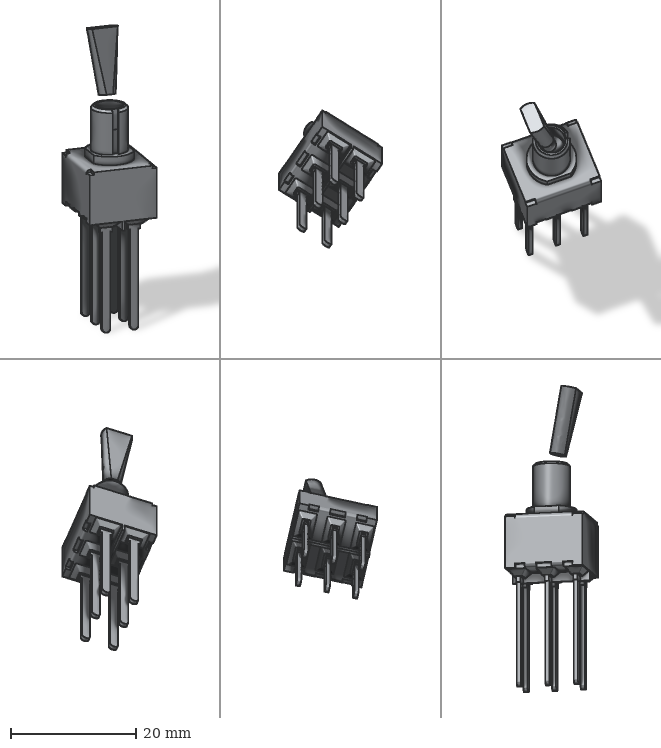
import cadquery as cq
import math


case_length = 12.7
case_width = 11.4
case_height = 8.85
case_top_round = 0.75
corner_post = 1.6
corner_notch_depth = 0.45
skirt_height = 0.7
skirt_depth = 0.75
tab_length = 1.9
tab_offset = 2.2
tab_round = 0.6

flange_diameter = 8.0
flange_across_flats = 6.95
flange_height = 1.4
bushing_diameter = 6.0
bushing_height = 7.45
bushing_chamfer = 0.45
bore_diameter = 4.4
keyway_width = 1.0
keyway_floor = 2.35

pivot_depth = 3.5
socket_radius = 1.1
socket_depth = 0.75

lever_tilt = 12
lever_length = 10.8
lever_thickness = 2.5
lever_tip_width = 5.05
lever_tip_flat = 4.35
lever_root_width = 2.85
lever_root_flat = 1.05

pin_pitch = 4.7
pin_row_offset = 2.4
pin_thickness = 0.7
pin_width = 1.35
pin_drop = 18.8
shoulder_width = 2.05
shoulder_height = 0.95
foot_height = 0.98
foot_base_x = 3.0
foot_base_y = 4.4
foot_end_x = 1.4
foot_end_y = 2.45
foot_corner_round = 0.3
wall_thickness = 0.45
wall_drop = 1.5

overall_height = 48.8

flange_top = case_height + flange_height
bushing_top = flange_top + bushing_height
pivot_height = bushing_top - pivot_depth
bore_radius = bore_diameter / 2
SIDES = (-1, 1)


def box_on(length, width, height, x, y, z):
    """A box centred on x and y that stands on z."""
    return cq.Workplane("XY").box(length, width, height, centered=(True, True, False)).translate((x, y, z))


def make_case():
    case = box_on(case_length, case_width, case_height, 0, 0, 0)
    case = case.edges("|X and >Z").fillet(case_top_round)
    panel_length = case_length - 2 * corner_post
    for side in SIDES:
        strip_y = side * (case_width - skirt_depth) / 2
        strip = box_on(panel_length, skirt_depth, skirt_height, 0, strip_y, 0)
        outer_edge = ">Y" if side > 0 else "<Y"
        for end in SIDES:
            tab = box_on(tab_length, skirt_depth, skirt_height, end * tab_offset, strip_y, 0)
            strip = strip.cut(tab.faces(outer_edge).edges("<Z").fillet(tab_round))
        case = case.cut(strip)
        for end in SIDES:
            corner_x = end * (case_length - corner_post) / 2
            corner_y = side * (case_width - case_top_round) / 2
            post_height = case_height - corner_notch_depth
            case = case.union(box_on(corner_post, case_top_round, post_height, corner_x, corner_y, 0))
            case = case.cut(
                box_on(corner_post, case_top_round, corner_notch_depth, corner_x, corner_y, post_height)
            )
    return case


def make_bushing():
    flange = cq.Workplane("XY").circle(flange_diameter / 2).extrude(flange_height)
    flange = flange.intersect(box_on(flange_diameter, flange_across_flats, flange_height, 0, 0, 0))
    barrel = cq.Workplane("XY").workplane(offset=flange_height).circle(bushing_diameter / 2)
    barrel = barrel.extrude(bushing_height).faces(">Z").edges().chamfer(bushing_chamfer)
    keyway_depth = bushing_diameter / 2 - keyway_floor
    barrel = barrel.cut(
        box_on(keyway_depth, keyway_width, bushing_height, keyway_floor + keyway_depth / 2, 0, flange_height)
    )
    return flange.union(barrel).translate((0, 0, case_height))


def make_bore():
    """The space in the bore above the ball."""
    bore = cq.Workplane("XY").circle(bore_radius).extrude(pivot_depth)
    return bore.cut(cq.Workplane("XY").sphere(bore_radius)).translate((0, 0, pivot_height))


def tilt_about_pivot(shape):
    """Leans a shape built along Z from the origin toward -X, and moves it to the pivot."""
    return shape.rotate((0, 0, 0), (0, 1, 0), -lever_tilt).translate((0, 0, pivot_height))


def make_socket():
    """A shallow conical recess in the ball, along the lever axis."""
    rim = math.sqrt(bore_radius**2 - socket_radius**2)
    profile = [(0, rim - socket_depth), (socket_radius, rim), (socket_radius, bore_radius), (0, bore_radius)]
    cone = cq.Workplane("XZ").polyline(profile).close().revolve(360, (0, 0, 0), (0, 1, 0))
    return tilt_about_pivot(cone)


def make_pin():
    """One pin with its shoulder and pyramid foot, hanging from Z = 0."""
    foot = (
        cq.Workplane("XY").rect(foot_base_x, foot_base_y)
        .workplane(offset=-foot_height).rect(foot_end_x, foot_end_y)
        .loft(ruled=True)
        .edges("not #Z").fillet(foot_corner_round)
    )
    shoulder_bottom = -foot_height - shoulder_height
    shoulder = box_on(pin_thickness, shoulder_width, shoulder_height, 0, 0, shoulder_bottom)
    half_width = pin_width / 2
    round_start = half_width - pin_drop
    blade = (
        cq.Workplane("YZ").workplane(offset=-pin_thickness / 2)
        .moveTo(-half_width, -foot_height)
        .lineTo(-half_width, round_start)
        .threePointArc((0, -pin_drop), (half_width, round_start))
        .lineTo(half_width, -foot_height)
        .close().extrude(pin_thickness)
    )
    return foot.union(shoulder).union(blade)


def make_housing():
    housing = make_case().union(make_bushing()).cut(make_bore()).cut(make_socket())
    housing = housing.union(box_on(case_length, wall_thickness, wall_drop, 0, 0, -wall_drop))
    for column in (-1, 0, 1):
        for row in SIDES:
            housing = housing.union(make_pin().translate((column * pin_pitch, row * pin_row_offset, 0)))
    return housing


def lever_section(sketch, width, flat):
    """Two flat faces across X, joined by outward arcs at both Y ends."""
    x = lever_thickness / 2
    return (
        sketch.moveTo(-x, -flat / 2)
        .threePointArc((0, -width / 2), (x, -flat / 2))
        .lineTo(x, flat / 2)
        .threePointArc((0, width / 2), (-x, flat / 2))
        .close()
    )


def make_lever():
    tilt = math.radians(lever_tilt)
    highest_point = overall_height - pin_drop
    tip = (highest_point - pivot_height - lever_thickness / 2 * math.sin(tilt)) / math.cos(tilt)
    root = cq.Workplane("XY").workplane(offset=tip - lever_length)
    root = lever_section(root, lever_root_width, lever_root_flat)
    lever = lever_section(root.workplane(offset=lever_length), lever_tip_width, lever_tip_flat)
    return tilt_about_pivot(lever.loft(ruled=True))


housing = make_housing()
lever = make_lever()
result = cq.Compound.makeCompound([housing.val(), lever.val()])